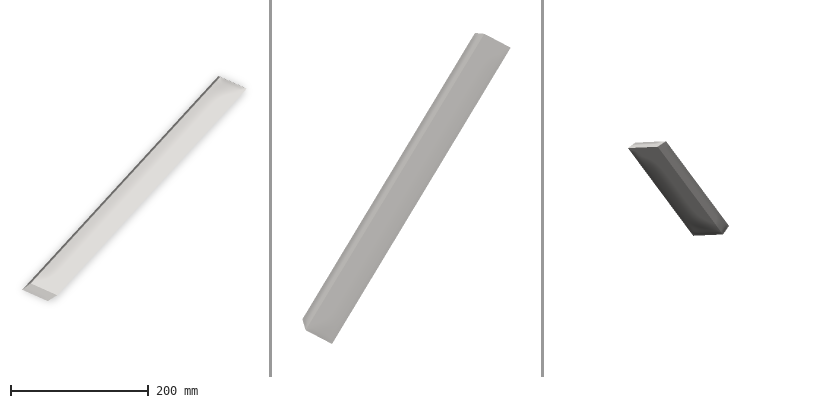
import cadquery as cq

length = 529.0
width = 54.5
thickness = 10.0

bevel = 9.0
overhang = 10.5

section = [
    (0, 0),
    (width - overhang, 0),
    (width, thickness),
    (bevel, thickness),
]
bar = cq.Workplane("XZ").polyline(section).close().extrude(-length)

side_profile = [
    (0, 0),
    (length, 0),
    (length - bevel, thickness),
    (bevel, thickness),
]
end_bevels = cq.Workplane("YZ").polyline(side_profile).close().extrude(width)

result = bar.intersect(end_bevels)